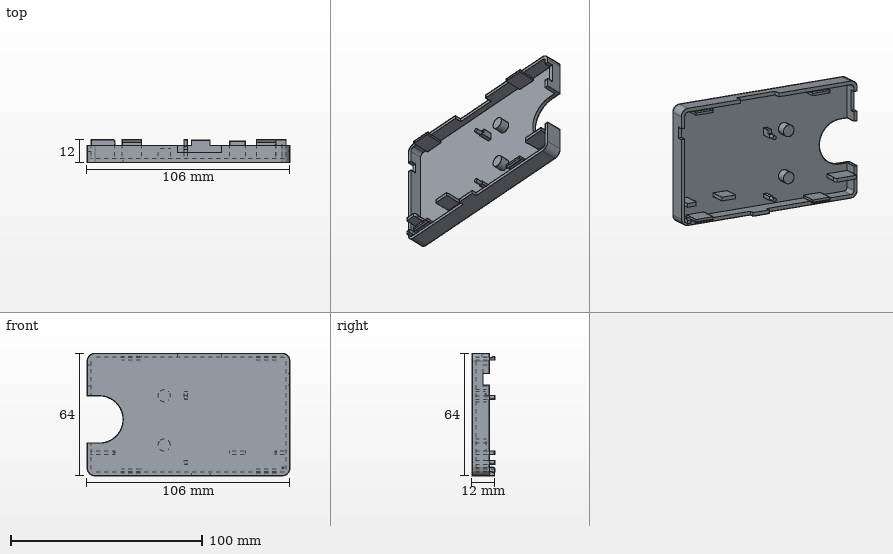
import cadquery as cq
import math

length = 106.0
height = 64.0
shell_depth = 9.0
total_depth = 12.0
wall = 2.0
corner_radius = 4.0

notch_radius = 12.3
notch_tip_x = 18.8
notch_center_z = 29.5

side_opening_y = 5.7
left_opening_z = (46.9, 58.0)
right_opening_z = (47.5, 53.4)
top_opening_y = 5.2
top_opening_x = (47.3, 70.3)

clip_width = 10.3
clip_starts_x = (18.2, 88.5)
clip_thickness = 1.3
clip_gap = 0.2
bead_radius = 0.7
bead_overhang = 0.6

rib_z = 11.0
left_rib_tip_x = 14.6
right_rib_tip_x = 98.2
corner_rib_tip_z = 4.6
rib_neck_setback = 0.3
rib_top_setback = 0.7
rib_bow_y = 10.4
middle_rib_x = (74.5, 82.8)
middle_rib_depth = 11.1
bottom_tab_x = (54.5, 64.3)
bottom_tab_depth = 11.8

pin_diameter = 2.0
pin_x = 51.5
lower_pin_z = 7.0
upper_pin_z = 41.0
post_depth = 8.3
ledge_depth = 6.9

boss_diameter = 6.4
boss_depth = 7.2
boss_x = 40.3
lower_boss_z = 16.1
upper_boss_z = 41.9


def box(x_range, y_range, z_range):
    """Axis-aligned box given by its limits on each axis."""
    (x0, x1), (y0, y1), (z0, z1) = x_range, y_range, z_range
    return cq.Workplane("XY").box(x1 - x0, y1 - y0, z1 - z0, centered=False).translate((x0, y0, z0))


def cylinder_along_y(x, z, diameter, y_start, y_end):
    """Round post whose axis runs along Y."""
    axis_plane = cq.Plane(origin=(x, y_start, z), xDir=(1, 0, 0), normal=(0, 1, 0))
    return cq.Workplane(axis_plane).circle(diameter / 2).extrude(y_end - y_start)


def make_shell():
    """Tray with rounded corners and an even wall thickness."""
    outer = box((0, length), (0, shell_depth), (0, height)).edges("|Y").fillet(corner_radius)
    cavity = box((wall, length - wall), (wall, shell_depth), (wall, height - wall))
    return outer.cut(cavity.edges("|Y").fillet(corner_radius - wall))


def make_notch():
    """Round-ended slot through the floor and the -X wall."""
    center_x = notch_tip_x - notch_radius
    round_end = cylinder_along_y(center_x, notch_center_z, 2 * notch_radius, 0, shell_depth)
    straight = box(
        (0, center_x),
        (0, shell_depth),
        (notch_center_z - notch_radius, notch_center_z + notch_radius),
    )
    return round_end.union(straight)


def make_wall_openings():
    """Openings in the -X, +X and top walls, open at the rim."""
    left = box((0, wall), (side_opening_y, shell_depth), left_opening_z)
    right = box((length - wall, length), (side_opening_y, shell_depth), right_opening_z)
    top = box(top_opening_x, (top_opening_y, shell_depth), (height - wall, height))
    return left.union(right).union(top)


def make_top_clip(x_start):
    """Springy tab on the floor just inside the top wall, with a round bead along its outer edge."""
    outer_z = height - wall - clip_gap
    bead_z = outer_z + bead_overhang - bead_radius
    x_range = (x_start, x_start + clip_width)
    tab = box(x_range, (0, total_depth), (outer_z - clip_thickness, outer_z))
    bead = (
        cq.Workplane("YZ", origin=(x_start, total_depth - bead_radius, bead_z))
        .circle(bead_radius)
        .extrude(clip_width)
    )
    return tab.union(bead)


def make_clips():
    """Two clips along the top wall, mirrored to the bottom wall."""
    left_start, right_start = clip_starts_x
    top_pair = make_top_clip(left_start).union(make_top_clip(right_start))
    return top_pair.union(top_pair.mirror("XY", (0, 0, height / 2)))


def make_end_rib(workplane, root, tip):
    """Rib as tall as the whole part, one wall thick, whose free end bows out near the top.

    The workplane's second axis is Y. The rib runs from root to tip along its first axis.
    """
    inward = math.copysign(1, tip - root)
    neck = tip - inward * rib_neck_setback
    top = tip - inward * rib_top_setback
    return (
        workplane.moveTo(root, 0)
        .lineTo(neck, 0)
        .lineTo(neck, shell_depth)
        .threePointArc((tip, rib_bow_y), (top, total_depth))
        .lineTo(root, total_depth)
        .close()
        .extrude(wall)
    )


def make_ribs_and_tabs():
    """Ribs from the end and bottom walls, the low middle rib and the tab on the bottom wall."""
    inner_end_x = length - wall
    along_x = cq.Workplane("XY", origin=(0, 0, rib_z))
    along_z = cq.Workplane("ZY", origin=(inner_end_x, 0, 0))
    left_rib = make_end_rib(along_x, wall, left_rib_tip_x)
    right_rib = make_end_rib(along_x, inner_end_x, right_rib_tip_x)
    corner_rib = make_end_rib(along_z, wall, corner_rib_tip_z)
    middle_rib = box(middle_rib_x, (0, middle_rib_depth), (rib_z, rib_z + wall))
    bottom_tab = box(bottom_tab_x, (0, bottom_tab_depth), (0, wall))
    return left_rib.union(right_rib).union(corner_rib).union(middle_rib).union(bottom_tab)


def make_pin_post(pin_z):
    """Square post carrying a round locating pin."""
    half = pin_diameter / 2
    post = box((pin_x - half, pin_x + half), (0, post_depth), (pin_z - half, pin_z + half))
    return post.union(cylinder_along_y(pin_x, pin_z, pin_diameter, post_depth, total_depth))


def make_posts():
    """Both pin posts, the lower ledge beside the upper one, and the two round standoffs."""
    half = pin_diameter / 2
    ledge_z = upper_pin_z + half
    posts = box((pin_x - half, pin_x + half), (0, ledge_depth), (ledge_z, ledge_z + pin_diameter))
    for pin_z in (lower_pin_z, upper_pin_z):
        posts = posts.union(make_pin_post(pin_z))
    for boss_z in (lower_boss_z, upper_boss_z):
        posts = posts.union(cylinder_along_y(boss_x, boss_z, boss_diameter, 0, boss_depth))
    return posts


result = (
    make_shell()
    .cut(make_notch())
    .cut(make_wall_openings())
    .union(make_clips())
    .union(make_ribs_and_tabs())
    .union(make_posts())
)